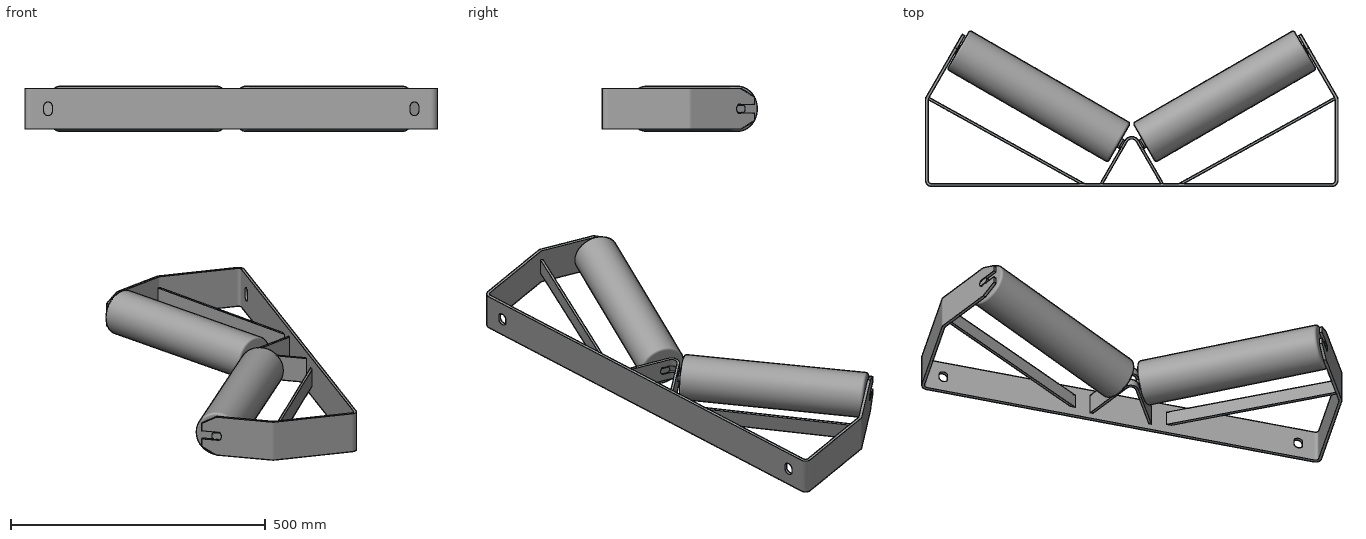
import cadquery as cq
import math

frame_width = 810.0
frame_height = 80.0
frame_thickness = 6.0
corner_radius = 12.0
side_bend_radius = 10.0
side_bend_y = 173.0
flange_length = 145.0
flange_chamfer_length = 30.0
flange_chamfer_height = 16.0
mounting_slot_x = 360.0
mounting_slot_width = 17.0
mounting_slot_height = 27.0

trough_angle = 30.0
roller_diameter = 89.0
roller_length = 364.5
roller_edge_radius = 5.0
roller_end_x = 340.0
roller_end_y = 268.0
shaft_diameter = 19.5
shaft_flat_width = 14.0
shaft_flat_length = 8.0
shaft_slot_width = 17.0

bracket_thickness = 5.0
bracket_height = 50.0
bracket_top_y = 98.0
bracket_bend_radius = 15.0

brace_thickness = 5.0
brace_height = 35.0
brace_foot_x = 92.0
brace_top_y = 176.0

slope = math.radians(trough_angle)
along_x, along_y = math.cos(slope), -math.sin(slope)
across_x, across_y = math.sin(slope), math.cos(slope)

half_width = frame_width / 2
side_bend = (-half_width, side_bend_y)
roller_end = (-roller_end_x, roller_end_y)
bracket_apex = (0, bracket_top_y + bracket_bend_radius / math.sin(slope) - bracket_bend_radius)


def mirrored(body):
    """Copy of a body on the other side of the YZ plane."""
    return body.mirror("YZ")


def distance_along(point):
    """Distance of an XY point from the roller's outer end face, measured along the roller axis."""
    return (point[0] - roller_end[0]) * along_x + (point[1] - roller_end[1]) * along_y


def square_to_roller(distance):
    """Workplane across the left roller axis; local X points up across the roller, local Y is Z."""
    origin = (roller_end[0] + distance * along_x, roller_end[1] + distance * along_y, 0)
    return cq.Workplane(
        cq.Plane(origin=origin, xDir=(across_x, across_y, 0), normal=(along_x, along_y, 0))
    )


def bent_bar(corners, radii, thickness, height):
    """Upright bar whose outer face follows the corners, thickened to the left of the path.

    The radii are the outer radii of the bends at the corners between the two ends.
    """
    headings = []
    for start, end in zip(corners, corners[1:]):
        length = math.dist(start, end)
        headings.append(((end[0] - start[0]) / length, (end[1] - start[1]) / length))

    inner_corners = []
    for (x, y), (ax, ay), (bx, by) in zip(corners, headings[:1] + headings, headings + headings[-1:]):
        miter = thickness / (1 + ax * bx + ay * by)
        inner_corners.append((x - miter * (ay + by), y + miter * (ax + bx)))

    bar = (
        cq.Workplane("XY")
        .polyline(corners + inner_corners[::-1])
        .close()
        .extrude(height / 2, both=True)
    )
    for outer, inner, radius in zip(corners[1:-1], inner_corners[1:-1], radii):
        bar = bar.edges(cq.NearestToPointSelector((*outer, 0))).fillet(radius)
        bar = bar.edges(cq.NearestToPointSelector((*inner, 0))).fillet(radius - thickness)
    return bar


def shaft_slot(outer_distance, depth):
    """Cutter for a slot that seats the round underside of a shaft and is open above it."""
    half_slot = shaft_slot_width / 2
    seat_radius = shaft_diameter / 2
    seat_edge = -math.sqrt(seat_radius**2 - half_slot**2)
    open_end = roller_diameter
    return (
        square_to_roller(outer_distance)
        .moveTo(open_end, -half_slot)
        .lineTo(seat_edge, -half_slot)
        .threePointArc((-seat_radius, 0), (seat_edge, half_slot))
        .lineTo(open_end, half_slot)
        .close()
        .extrude(depth)
    )


flange_distance = distance_along(side_bend)
bracket_distance = distance_along(bracket_apex)


def make_frame():
    tip = (side_bend[0] + flange_length * across_x, side_bend[1] + flange_length * across_y)
    left = [tip, side_bend, (-half_width, 0)]
    right = [(-x, y) for x, y in reversed(left)]
    radii = [side_bend_radius, corner_radius, corner_radius, side_bend_radius]
    frame = bent_bar(left + right, radii, frame_thickness, frame_height)

    tip_height = (tip[0] - roller_end[0]) * across_x + (tip[1] - roller_end[1]) * across_y
    for side in (1, -1):
        corner_cut = (
            square_to_roller(flange_distance)
            .polyline([
                (tip_height, side * frame_height / 2),
                (tip_height - flange_chamfer_length, side * frame_height / 2),
                (tip_height, side * (frame_height / 2 - flange_chamfer_height)),
            ])
            .close()
            .extrude(frame_thickness)
        )
        frame = frame.cut(corner_cut).cut(mirrored(corner_cut))

    slot = shaft_slot(flange_distance, frame_thickness)
    mounting_slots = (
        cq.Workplane("XZ")
        .pushPoints([(-mounting_slot_x, 0), (mounting_slot_x, 0)])
        .slot2D(mounting_slot_height, mounting_slot_width, 90)
        .extrude(-frame_thickness)
    )
    return frame.cut(slot).cut(mirrored(slot)).cut(mounting_slots)


def behind_front_bar(body):
    """Part of a body that lies behind the inner face of the front bar."""
    space = cq.Workplane("XY").box(frame_width, frame_width, frame_width, centered=(True, False, True))
    return body.intersect(space.translate((0, frame_thickness, 0)))


def make_bracket():
    foot_x = bracket_apex[1] * math.tan(slope)
    outline = [(foot_x, 0), bracket_apex, (-foot_x, 0)]
    bracket = bent_bar(outline, [bracket_bend_radius], bracket_thickness, bracket_height)
    slot = shaft_slot(bracket_distance, bracket_bend_radius)
    return behind_front_bar(bracket.cut(slot).cut(mirrored(slot)))


def make_roller():
    """Left roller: a drum with rounded rims on a shaft whose ends are flattened to fit the slots."""
    drum = (
        square_to_roller(0)
        .circle(roller_diameter / 2)
        .extrude(roller_length)
        .edges()
        .fillet(roller_edge_radius)
    )
    shaft_end = bracket_distance + bracket_thickness
    shaft = (
        square_to_roller(flange_distance)
        .circle(shaft_diameter / 2)
        .extrude(shaft_end - flange_distance)
    )
    for start in (flange_distance, shaft_end - shaft_flat_length):
        tongue = square_to_roller(start).rect(shaft_diameter, shaft_flat_width)
        sleeve = square_to_roller(start).circle(shaft_diameter).extrude(shaft_flat_length)
        shaft = shaft.cut(sleeve.cut(tongue.extrude(shaft_flat_length)))
    return drum.union(shaft)


def make_brace(frame):
    """Left brace, trimmed to the inner faces of the frame."""
    top = (frame_thickness - half_width, brace_top_y)
    foot = (-brace_foot_x, frame_thickness)
    length = math.dist(top, foot)
    run, drop = (foot[0] - top[0]) / length, (foot[1] - top[1]) / length
    overrun = brace_thickness
    foot = (foot[0] + overrun * run, foot[1] + overrun * drop)
    lower_foot = (foot[0] + brace_thickness * drop, foot[1] - brace_thickness * run)
    lower_top = (top[0], top[1] - brace_thickness / run)
    brace = (
        cq.Workplane("XY")
        .polyline([top, foot, lower_foot, lower_top])
        .close()
        .extrude(brace_height / 2, both=True)
    )
    return behind_front_bar(brace).cut(frame)


frame = make_frame()
bracket = make_bracket()
left_roller = make_roller()
left_brace = make_brace(frame)
rollers = [left_roller, mirrored(left_roller)]
braces = [left_brace, mirrored(left_brace)]

result = cq.Compound.makeCompound(
    [frame.val(), bracket.val()] + [body.val() for body in rollers + braces]
)